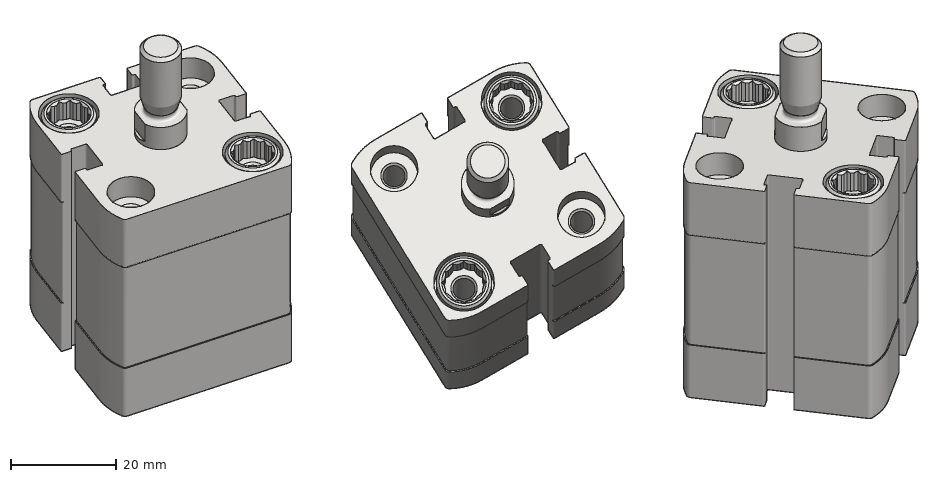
import cadquery as cq
import math

total_height = 70.5
housing_width = 39.5
housing_height = 49.0
cap_height = 12.0
barrel_inset = 0.25

corner_radius = 12.515
edge_rounding = 1.0
bolt_offset = 13.0

slot_mouth_width = 5.65
slot_inner_width = 6.9
slot_lip_depth = 2.25
slot_depth = 5.7
slot_corner_radius = 0.3
lip_rounding = 0.2
slot_directions = (0, 90, 180)

bore_diameter = 4.15
bore_mouth_diameter = 5.0
counterbore_diameter = 9.0
counterbore_depth = 5.0

head_recess_diameter = 11.5
head_diameter = 10.5
head_chamfer = 0.53
socket_depth = 4.65
socket_tip_diameter = 7.5
socket_point_diameter = 8.1
socket_mouth_diameter = 8.45

rod_diameter = 10.0
rod_shoulder_z = 54.5
flat_distance = 9.0
flat_bottom_z = 50.2
flat_run_out_angle = 30.0
neck_diameter = 6.2
neck_flare = 0.6
neck_top_z = 55.8
neck_step = 0.2
thread_diameter = 8.0
thread_bottom_z = 58.5
thread_chamfer = 0.7


def countersink(x, y, top_z, top_diameter, bottom_diameter):
    """45 degree cone that narrows downward from top_z."""
    depth = (top_diameter - bottom_diameter) / 2
    base = cq.Vector(x, y, top_z - depth)
    cone = cq.Solid.makeCone(bottom_diameter / 2, top_diameter / 2, depth, base)
    return cq.Workplane(cone)


def cylinder(x, y, diameter, bottom_z, top_z):
    base = cq.Workplane("XY", origin=(x, y, bottom_z))
    return base.circle(diameter / 2).extrude(top_z - bottom_z)


def block(inset, bottom_z, height):
    """Square block whose corners are arcs that run out tangent to the +Y and -Y sides."""
    half = housing_width / 2 - inset
    radius = corner_radius - inset
    centre_y = half - radius
    end_angle = math.asin((half - bolt_offset) / radius)
    end_y = centre_y + radius * math.cos(end_angle)
    mid_x = bolt_offset + radius * math.sin(end_angle / 2)
    mid_y = centre_y + radius * math.cos(end_angle / 2)
    outline = (
        cq.Workplane("XY", origin=(0, 0, bottom_z))
        .moveTo(-bolt_offset, half)
        .lineTo(bolt_offset, half)
        .threePointArc((mid_x, mid_y), (half, end_y))
        .lineTo(half, -end_y)
        .threePointArc((mid_x, -mid_y), (bolt_offset, -half))
        .lineTo(-bolt_offset, -half)
        .threePointArc((-mid_x, -mid_y), (-half, -end_y))
        .lineTo(-half, end_y)
        .threePointArc((-mid_x, mid_y), (-bolt_offset, half))
        .close()
    )
    return outline.extrude(height).edges("|Z").edges("<X or >X").fillet(edge_rounding)


def slot_cutter():
    """T-shaped sensor slot over the full height, open to the +Y side."""
    outer_y = housing_width / 2
    bottom_y = outer_y - slot_depth
    lip_y = outer_y - slot_lip_depth
    channel = (
        cq.Workplane("XY")
        .center(0, (bottom_y + lip_y) / 2)
        .rect(slot_inner_width, lip_y - bottom_y)
        .extrude(housing_height)
        .edges("|Z")
        .fillet(slot_corner_radius)
    )
    mouth = (
        cq.Workplane("XY")
        .center(0, (bottom_y + outer_y) / 2)
        .rect(slot_mouth_width, slot_depth)
        .extrude(housing_height)
    )
    return channel.union(mouth)


def is_lip_edge(edge):
    """True for the upright edges of the slot lips."""
    centre = edge.Center()
    half = slot_mouth_width / 2
    return min(abs(abs(centre.x) - half), abs(abs(centre.y) - half)) < 0.01


def slotted_section(inset, bottom_z, height):
    section = block(inset, bottom_z, height)
    for angle in slot_directions:
        section = section.cut(slot_cutter().rotate((0, 0, 0), (0, 0, 1), angle))
    return section.edges("|Z").filter(is_lip_edge).fillet(lip_rounding)


def corner_bore(x, y, floor_z):
    """Through bore with a countersunk mouth in the floor above it."""
    bore = cylinder(x, y, bore_diameter, 0, floor_z)
    return bore.union(countersink(x, y, floor_z, bore_mouth_diameter, bore_diameter))


def screw_head_gap(x, y):
    """Ring-shaped gap around a chamfered screw head that is flush with the top face."""
    floor_z = housing_height - counterbore_depth
    head = cylinder(x, y, head_diameter, floor_z, housing_height).faces(">Z").chamfer(head_chamfer)
    return cylinder(x, y, head_recess_diameter, floor_z, housing_height).cut(head)


def screw_socket(x, y):
    """Twelve-point socket: two hexagons turned by 30 degrees, with the inner tips bored round."""
    floor_z = housing_height - socket_depth
    socket = cylinder(x, y, socket_tip_diameter, floor_z, housing_height)
    for angle in (0, 30):
        hexagon = cq.Workplane("XY").polygon(6, socket_point_diameter).extrude(socket_depth)
        socket = socket.union(hexagon.rotate((0, 0, 0), (0, 0, 1), angle).translate((x, y, floor_z)))
    return socket.union(countersink(x, y, housing_height, socket_mouth_diameter, socket_tip_diameter))


def make_housing():
    barrel_height = housing_height - 2 * cap_height
    housing = slotted_section(0, 0, cap_height)
    housing = housing.union(slotted_section(barrel_inset, cap_height, barrel_height))
    housing = housing.union(slotted_section(0, housing_height - cap_height, cap_height))
    counterbore_floor_z = housing_height - counterbore_depth
    for side in (-1, 1):
        x, y = side * bolt_offset, -side * bolt_offset
        housing = housing.cut(cylinder(x, y, counterbore_diameter, counterbore_floor_z, housing_height))
        housing = housing.cut(corner_bore(x, y, counterbore_floor_z))
        x, y = side * bolt_offset, side * bolt_offset
        housing = housing.cut(screw_head_gap(x, y))
        housing = housing.cut(screw_socket(x, y))
        housing = housing.cut(corner_bore(x, y, housing_height - socket_depth))
    return housing


def wrench_flat_cutter():
    """Material removed beside the +Y wrench flat, with a sloping run-out at its lower end."""
    flat_y = flat_distance / 2
    outer_y = rod_diameter
    run_out_z = flat_bottom_z - (outer_y - flat_y) * math.tan(math.radians(flat_run_out_angle))
    profile = [
        (flat_y, rod_shoulder_z),
        (flat_y, flat_bottom_z),
        (outer_y, run_out_z),
        (outer_y, rod_shoulder_z),
    ]
    return cq.Workplane("YZ").polyline(profile).close().extrude(rod_diameter / 2, both=True)


def make_rod():
    """Turned piston rod that stands on the housing, with two wrench flats and a threaded end."""
    neck_radius = neck_diameter / 2
    thread_radius = thread_diameter / 2
    flare_inset = neck_flare * (1 - math.sqrt(0.5))
    rod = (
        cq.Workplane("XZ")
        .moveTo(0, housing_height)
        .lineTo(rod_diameter / 2, housing_height)
        .lineTo(rod_diameter / 2, rod_shoulder_z)
        .lineTo(neck_radius + neck_flare, rod_shoulder_z)
        .threePointArc(
            (neck_radius + flare_inset, rod_shoulder_z + flare_inset),
            (neck_radius, rod_shoulder_z + neck_flare),
        )
        .lineTo(neck_radius, neck_top_z)
        .lineTo(neck_radius + neck_step, neck_top_z + neck_step)
        .lineTo(thread_radius, thread_bottom_z)
        .lineTo(thread_radius, total_height - thread_chamfer)
        .lineTo(thread_radius - thread_chamfer, total_height)
        .lineTo(0, total_height)
        .close()
        .revolve(360, (0, 0, 0), (0, 1, 0))
    )
    flat = wrench_flat_cutter()
    return rod.cut(flat).cut(flat.mirror("XZ"))


housing = make_housing()
rod = make_rod()

result = cq.Compound.makeCompound([housing.val(), rod.val()])